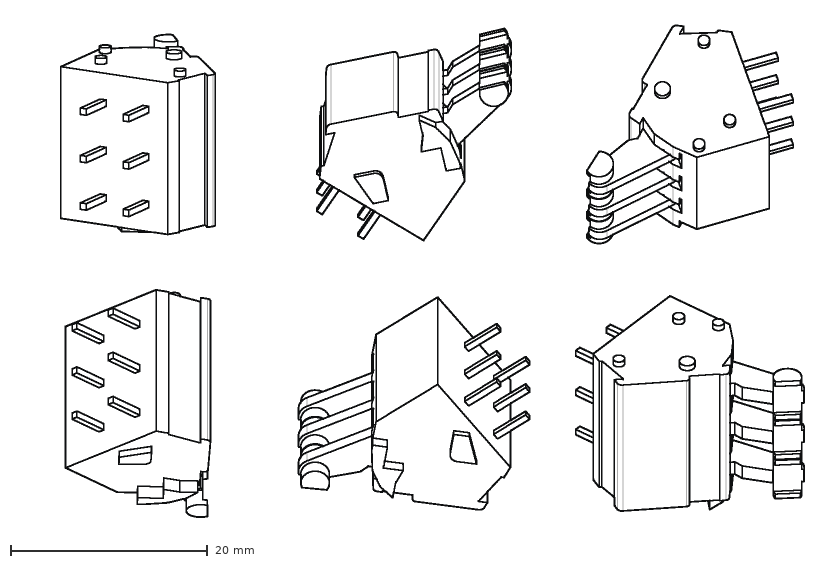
import cadquery as cq
import math


pole_count = 3
pole_pitch = 5.0
pole_mid_z = 2.87

body_height = 16.0
stud_height = 0.62
nose_radius = 0.55
shoulder_radius = 0.39
crest_radius = 0.45
left_knee = (0, 7.75)
roof_knee = (1.9, 9.7)
roof_break = (3.88, 11.06)
notch_inner = (5.98, 11.59)
notch_tip = (5.4, 12.11)
crest = (6.65, 12.98)
shoulder = (10.0, 10.54)
nose = (15.15, 5.38)

studs = [
    (8.23, 8.78, 0.8),
    (1.1, 7.16, 0.6),
    (2.78, 3.35, 0.6),
    (12.23, 3.08, 0.6),
]

pin_width = 0.68
pin_length = 4.04
pin_xs = (pole_pitch, 2 * pole_pitch)

upper_boss_depth = 1.3
boss_tip_y = 9.2
lower_boss_depth = 0.68
opening_floor_y = 8.99
opening_right_x = 2.97

lever_thickness = 1.57
lever_end_center = (2.3, 17.38)
lever_end_radius = 1.48
pivot_center = (3.5, 9.9)
pivot_radius = 1.19

grip_center = (2.65, 17.35)
grip_radius = 1.45
grip_length = 4.85
grip_flat_angle = 42.6
lip_flat_distance = 0.7
grip_flat_distance = 0.23
lip_length = 0.6


def prism(points, bottom, height):
    """Straight-sided outline extruded upward from the given height."""
    return cq.Workplane("XY").workplane(offset=bottom).polyline(points).close().extrude(height)


def round_corner(solid, corner, radius):
    """Fillet the vertical edge that stands on the given outline corner."""
    middle = (corner[0], corner[1], body_height / 2)
    return solid.edges(cq.selectors.NearestToPointSelector(middle)).fillet(radius)


def on_circle(center, radius, angle):
    """Point on a circle at an angle in degrees."""
    turn = math.radians(angle)
    return (center[0] + radius * math.cos(turn), center[1] + radius * math.sin(turn))


def make_body():
    outline = [
        (0, 0),
        (12.57, 0),
        (13.18, 1.25),
        (12.98, 1.45),
        (14.0, 5.09),
        (14.67, 4.43),
        nose,
        shoulder,
        (9.47, 10.01),
        (7.25, 12.23),
        (7.35, 12.32),
        crest,
        notch_tip,
        notch_inner,
        roof_break,
        roof_knee,
        left_knee,
    ]
    body = prism(outline, 0, body_height)
    body = round_corner(body, nose, nose_radius)
    body = round_corner(body, shoulder, shoulder_radius)
    return round_corner(body, crest, crest_radius)


def make_stud(x, y, radius):
    return cq.Workplane("XY", origin=(x, y, body_height)).circle(radius).extrude(stud_height)


def make_pin(x, z):
    return cq.Workplane("XZ", origin=(x, 0, z)).rect(pin_width, pin_width).extrude(pin_length)


def make_upper_boss(top):
    """Boss whose rear edge follows the body roof."""
    slope = (roof_knee[1] - left_knee[1]) / (roof_knee[0] - left_knee[0])
    tip_x = (boss_tip_y - left_knee[1]) / slope
    outline = [
        (tip_x, boss_tip_y),
        (2.49, 8.15),
        (4.3, 9.97),
        (5.75, 8.53),
        (6.52, 10.05),
        (7.82, 11.35),
        notch_inner,
        roof_break,
        roof_knee,
    ]
    return prism(outline, top - upper_boss_depth, upper_boss_depth)


def make_lower_boss():
    """Boss near the front with one rounded corner, under the lowest pole only."""
    return (
        cq.Workplane("XY").workplane(offset=-lower_boss_depth)
        .moveTo(5.55, 2.0)
        .lineTo(6.65, 0.9)
        .lineTo(9.83, 2.28)
        .lineTo(8.42, 3.7)
        .threePointArc((7.82, 3.95), (7.23, 3.7))
        .close()
        .extrude(lower_boss_depth)
    )


def make_opening(bottom, top):
    """Opening in the rear-left slope for a lever and the boss above it."""
    outline = [
        (0, opening_floor_y),
        (opening_right_x, opening_floor_y),
        (opening_right_x, notch_inner[1]),
        (0, notch_inner[1]),
    ]
    return prism(outline, bottom, top - bottom)


def make_flat_cutter(distance, bottom, height):
    """Block that leaves a flat at a distance from the grip axis."""
    size = 4 * grip_radius
    return (
        cq.Workplane("XY").workplane(offset=bottom)
        .center(*grip_center)
        .transformed(rotate=(0, 0, grip_flat_angle))
        .center(distance + size / 2, 0)
        .rect(size, size)
        .extrude(height)
    )


def make_lever(mid_z):
    bottom = mid_z - lever_thickness / 2
    dx = pivot_center[0] - lever_end_center[0]
    dy = pivot_center[1] - lever_end_center[1]
    spacing = math.hypot(dx, dy)
    side_angle = math.degrees(
        math.atan2(dy, dx) - math.acos((lever_end_radius - pivot_radius) / spacing)
    )
    tip_top_y = lever_end_center[1] + lever_end_radius
    tip_right_x = grip_center[0] + grip_radius
    arm = (
        cq.Workplane("XY").workplane(offset=bottom)
        .moveTo(*on_circle(pivot_center, pivot_radius, side_angle))
        .lineTo(*on_circle(lever_end_center, lever_end_radius, side_angle))
        .threePointArc(
            on_circle(lever_end_center, lever_end_radius, (90 + side_angle % 360) / 2),
            on_circle(lever_end_center, lever_end_radius, 90),
        )
        .lineTo(tip_right_x, tip_top_y)
        .lineTo(3.8, 16.4)
        .lineTo(5.13, 13.45)
        .lineTo(5.06, 12.43)
        .lineTo(*notch_inner)
        .lineTo(*on_circle(pivot_center, pivot_radius, 0))
        .threePointArc(
            on_circle(pivot_center, pivot_radius, side_angle / 2),
            on_circle(pivot_center, pivot_radius, side_angle),
        )
        .close()
        .extrude(lever_thickness)
    )
    return arm.cut(make_flat_cutter(grip_flat_distance, bottom, lever_thickness))


def make_grip(mid_z):
    bottom = mid_z - grip_length / 2
    bar = cq.Workplane("XY", origin=(*grip_center, bottom)).circle(grip_radius).extrude(grip_length)
    bar = bar.cut(make_flat_cutter(lip_flat_distance, bottom, grip_length))
    waist_length = grip_length - 2 * lip_length
    return bar.cut(make_flat_cutter(grip_flat_distance, bottom + lip_length, waist_length))


result = make_body().union(make_lower_boss())

for stud in studs:
    result = result.union(make_stud(*stud))

for pole in range(pole_count):
    base_z = pole * pole_pitch
    mid_z = base_z + pole_mid_z
    lever_bottom = mid_z - lever_thickness / 2
    result = result.cut(make_opening(lever_bottom, base_z + pole_pitch))
    result = result.union(make_upper_boss(base_z))
    result = result.union(make_lever(mid_z)).union(make_grip(mid_z))
    for pin_x in pin_xs:
        result = result.union(make_pin(pin_x, mid_z))

result = result.union(make_upper_boss(pole_count * pole_pitch))